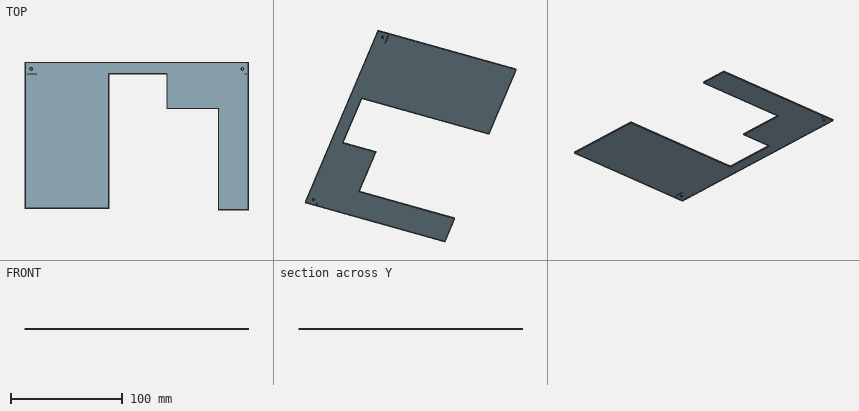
import cadquery as cq

length = 200.0
depth = 132.2
thickness = 1.0

left_leg_width = 75.0
left_leg_depth = 130.8
right_leg_width = 27.0
back_strip_depth = 10.5

corner_block_width = 46.0
corner_block_depth = 41.5

hole_diameter = 2.0
hole_side_inset = 5.5
hole_back_inset = 6.0

slit_width = 0.2
left_slit_inset = 2.0
left_slit_length = 8.5
right_slit_inset = 1.5
right_slit_length = 1.5

left = -length / 2
right = length / 2
back = depth / 2
front = -depth / 2
left_leg_inner = left + left_leg_width
right_leg_inner = right - right_leg_width
block_left = right_leg_inner - corner_block_width

outline = [
    (left, back),
    (right, back),
    (right, front),
    (right_leg_inner, front),
    (right_leg_inner, back - corner_block_depth),
    (block_left, back - corner_block_depth),
    (block_left, back - back_strip_depth),
    (left_leg_inner, back - back_strip_depth),
    (left_leg_inner, back - left_leg_depth),
    (left, back - left_leg_depth),
]
plate = cq.Workplane("XY").polyline(outline).close().extrude(thickness)

hole_centers = [
    (left + hole_side_inset, back - hole_back_inset),
    (right - hole_side_inset, back - hole_back_inset),
]
holes = (
    cq.Workplane("XY")
    .pushPoints(hole_centers)
    .circle(hole_diameter / 2)
    .extrude(thickness)
)


def slit(start_x, slit_length):
    """Narrow through cut running in +X from start_x."""
    return (
        cq.Workplane("XY")
        .center(start_x + slit_length / 2, back - back_strip_depth)
        .rect(slit_length, slit_width)
        .extrude(thickness)
    )


left_slit = slit(left + left_slit_inset, left_slit_length)
right_slit = slit(right - right_slit_inset - right_slit_length, right_slit_length)

result = plate.cut(holes).cut(left_slit).cut(right_slit)